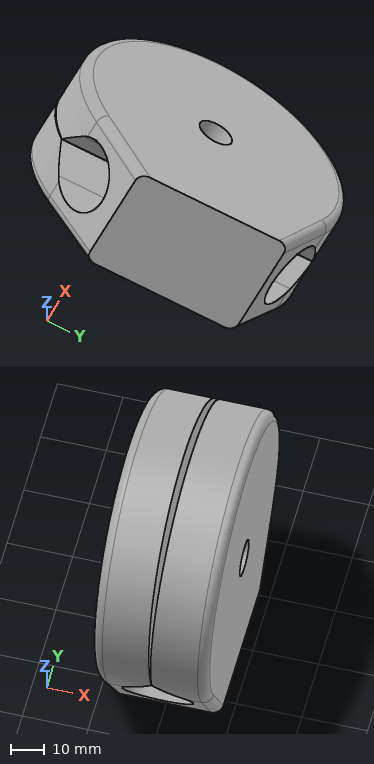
import cadquery as cq
import math

height = 89.9
disc_diameter = 88.9
flank_angle = math.radians(30)
base_width = 33.35
face_draft = math.radians(1)
edge_radius = 3.0
bore_radius = 10.7
bore_height = 16.8
cross_hole_radius = 5.5
slot_root_width = 0.1
slot_top_width = 2.1

disc_radius = disc_diameter / 2
disc_height = height - disc_radius
tangent_y = disc_radius * math.cos(flank_angle)
tangent_z = disc_height - disc_radius * math.sin(flank_angle)
foot_y = tangent_y - tangent_z * math.tan(flank_angle)
top_width = base_width + 2 * height * math.tan(face_draft)
bore_apex_height = bore_height + bore_radius * math.sqrt(2)
through_length = 2 * height


def make_body():
    """Disc on tangent flanks, with leaning outer faces and rounded rims."""
    profile = (
        cq.Workplane("YZ")
        .moveTo(-foot_y, 0)
        .lineTo(foot_y, 0)
        .lineTo(tangent_y, tangent_z)
        .threePointArc((0, height), (-tangent_y, tangent_z))
        .close()
        .extrude(top_width / 2, both=True)
    )
    wedge = (
        cq.Workplane("XZ")
        .polyline([
            (-base_width / 2, 0),
            (base_width / 2, 0),
            (top_width / 2, height),
            (-top_width / 2, height),
        ])
        .close()
        .extrude(through_length / 2, both=True)
    )
    body = profile.intersect(wedge)
    rims = body.faces("<X or >X").edges("not(<Z)")
    return rims.fillet(edge_radius)


def make_teardrop_bore():
    """Round bore along Y whose roof rises at 45 degrees to a point."""
    shoulder = bore_radius / math.sqrt(2)
    return (
        cq.Workplane("XZ")
        .moveTo(-shoulder, bore_height + shoulder)
        .threePointArc((0, bore_height - bore_radius), (shoulder, bore_height + shoulder))
        .lineTo(0, bore_apex_height)
        .close()
        .extrude(through_length / 2, both=True)
    )


def make_slot():
    """Clamping slot that widens from the bore's point to the top."""
    slot_start = bore_apex_height - slot_root_width
    return (
        cq.Workplane("XZ")
        .polyline([
            (-slot_root_width / 2, slot_start),
            (slot_root_width / 2, slot_start),
            (slot_top_width / 2, height),
            (-slot_top_width / 2, height),
        ])
        .close()
        .extrude(through_length / 2, both=True)
    )


def make_cross_hole():
    """Screw hole square to each outer face, so its two halves meet at a slight peak."""
    start = (-top_width / 2, 0, disc_height)
    tilt_axis_end = (-top_width / 2, 1, disc_height)
    long_hole = (
        cq.Workplane("YZ", origin=start)
        .circle(cross_hole_radius)
        .extrude(top_width)
        .rotate(start, tilt_axis_end, -math.degrees(face_draft))
    )
    left_space = (
        cq.Workplane("XY")
        .box(top_width, through_length, through_length)
        .translate((-top_width / 2, 0, 0))
    )
    left_hole = long_hole.intersect(left_space)
    return left_hole.union(left_hole.mirror("YZ"))


result = make_body().cut(make_teardrop_bore()).cut(make_slot()).cut(make_cross_hole())